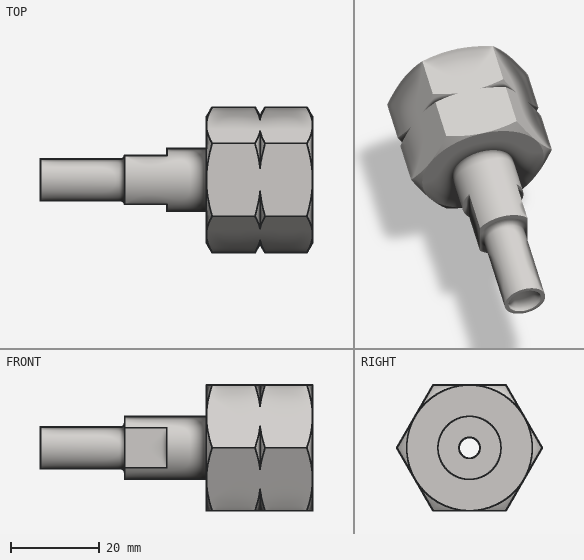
import cadquery as cq
import math


total_length = 61.7
shoulder_x = 19.1
flat_length = 9.6
nut_length = 24.1
nut_start = total_length - nut_length
groove_x = 49.8

tube_radius = 4.75
shank_radius = 7.15
root_fillet = 0.8
wrench_flat_width = 11.1
mouth_bore_radius = 3.8
through_bore_radius = 2.35
bore_step_x = shoulder_x - root_fillet
bore_cone_length = 0.6

across_flats = 28.6
nut_bore_radius = shank_radius
end_face_radius = 14.25
bevel_angle = 30.0
groove_depth = 2.0
corner_radius = across_flats / math.sqrt(3)
bevel_slope = math.tan(math.radians(bevel_angle))


def revolve_about_x(profile):
    """Turn a closed (x, radius) profile in the XY plane about the X axis."""
    return profile.close().revolve(360, (0, 0, 0), (1, 0, 0))


def make_bore():
    """Wide tube bore that tapers to the narrow through hole."""
    return revolve_about_x(
        cq.Workplane("XY")
        .moveTo(0, 0)
        .lineTo(0, mouth_bore_radius)
        .lineTo(bore_step_x, mouth_bore_radius)
        .lineTo(bore_step_x + bore_cone_length, through_bore_radius)
        .lineTo(total_length, through_bore_radius)
        .lineTo(total_length, 0)
    )


def make_wrench_flats():
    """Two slabs that trim the shank to the wrench width, on the +Y and -Y sides."""
    slabs = cq.Workplane("XY")
    for side in (1, -1):
        slab = cq.Workplane("XY").box(
            shoulder_x + flat_length, shank_radius, 2 * shank_radius, centered=(False, True, True)
        )
        slabs = slabs.add(slab.translate((0, side * (wrench_flat_width + shank_radius) / 2, 0)))
    return slabs.combine()


def make_nipple():
    """Thin tube, filleted into a shank that runs through the nut."""
    fillet_start = shoulder_x - root_fillet
    mid_offset = root_fillet * math.sqrt(0.5)
    body = revolve_about_x(
        cq.Workplane("XY")
        .moveTo(0, 0)
        .lineTo(0, tube_radius)
        .lineTo(fillet_start, tube_radius)
        .threePointArc(
            (fillet_start + mid_offset, tube_radius + root_fillet - mid_offset),
            (shoulder_x, tube_radius + root_fillet),
        )
        .lineTo(shoulder_x, shank_radius)
        .lineTo(total_length, shank_radius)
        .lineTo(total_length, 0)
    )
    return body.cut(make_wrench_flats()).cut(make_bore())


def make_nut_envelope():
    """Turned shape with 30 degree end bevels and a V groove around the corners."""
    bevel_length = (corner_radius - end_face_radius) * bevel_slope
    groove_half_width = groove_depth * bevel_slope
    return revolve_about_x(
        cq.Workplane("XY")
        .moveTo(nut_start, nut_bore_radius)
        .lineTo(nut_start, end_face_radius)
        .lineTo(nut_start + bevel_length, corner_radius)
        .lineTo(groove_x - groove_half_width, corner_radius)
        .lineTo(groove_x, corner_radius - groove_depth)
        .lineTo(groove_x + groove_half_width, corner_radius)
        .lineTo(total_length - bevel_length, corner_radius)
        .lineTo(total_length, end_face_radius)
        .lineTo(total_length, nut_bore_radius)
    )


def make_nut():
    """Hexagonal nut with corners on +Y and -Y."""
    hexagon = (
        cq.Workplane("YZ")
        .workplane(offset=nut_start)
        .polygon(6, 2 * corner_radius)
        .extrude(nut_length)
    )
    return hexagon.intersect(make_nut_envelope())


nipple = make_nipple()
nut = make_nut()

result = cq.Compound.makeCompound([nipple.val(), nut.val()])